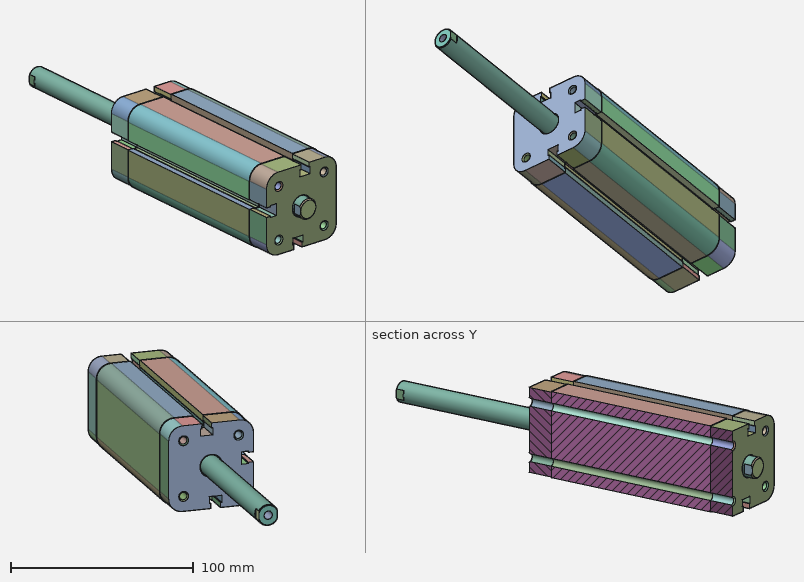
import cadquery as cq
import math


rod_length = 236.5
front_cap_start = 95.5
cap_length = 14.7
barrel_length = 105.7
barrel_start = front_cap_start + cap_length
rear_cap_start = barrel_start + barrel_length

barrel_side = 50.0
barrel_corner_radius = 8.5
cap_side = 49.2
cap_corner_radius = 8.0

slot_mouth_width = 5.7
cap_slot_depth = 7.3
cap_undercut_width = 7.0
cap_undercut_height = 4.0
barrel_slot_depth = 6.6
barrel_undercut_width = 6.1
barrel_undercut_height = 2.5
slot_offset = 2.5
slot_face_angles = (0, 90, 180)

screw_hole_diameter = 4.3
screw_hole_mouth_diameter = 5.7
screw_hole_spacing = 32.0

rod_bore_flare = 0.5

rod_diameter = 12.0
flat_length = 5.2
across_flats = 10.6
tapped_hole_diameter = 4.7
tapped_hole_depth = 11.8
drill_point_angle = 118.0
front_chamfer = 0.5
rear_chamfer = 0.7


def bar_along_x(start, length, side, corner_radius):
    """Square bar with rounded long edges."""
    bar = cq.Workplane("YZ", origin=(start, 0, 0)).rect(side, side).extrude(length)
    return bar.edges("|X").fillet(corner_radius)


def t_slot(start, length, depth, undercut_width, undercut_height, face_angle):
    """Cutter for one T-slot, made on the top face and turned about X to its own face."""
    face_height = barrel_side / 2
    floor_height = face_height - depth
    mouth = cq.Workplane("XY").box(length, slot_mouth_width, depth, centered=(False, True, False))
    undercut = cq.Workplane("XY").box(
        length, undercut_width, undercut_height, centered=(False, True, False)
    )
    cutter = mouth.union(undercut).translate((start, slot_offset, floor_height))
    return cutter.rotate((0, 0, 0), (1, 0, 0), face_angle)


def cut_slots(section, start, length, depth, undercut_width, undercut_height):
    """Cut one T-slot along each slotted face of a housing section."""
    for face_angle in slot_face_angles:
        section = section.cut(t_slot(start, length, depth, undercut_width, undercut_height, face_angle))
    return section


def cut_bores(section, start, length):
    """Cut the corner screw holes and the bore that carries the rod."""
    profile = cq.Workplane("YZ", origin=(start, 0, 0))
    screw_holes = (
        profile.rect(screw_hole_spacing, screw_hole_spacing, forConstruction=True)
        .vertices()
        .circle(screw_hole_diameter / 2)
        .extrude(length)
    )
    rod_bore = profile.circle(rod_diameter / 2).extrude(length)
    return section.cut(screw_holes).cut(rod_bore)


def flare_cutter(face_x, inward, y, z, mouth_diameter, hole_diameter):
    """Conical flare of a hole at a cap's outer face, narrowing at 45 degrees towards inward (+1 or -1)."""
    depth = (mouth_diameter - hole_diameter) / 2
    cone = cq.Solid.makeCone(
        mouth_diameter / 2,
        hole_diameter / 2,
        depth,
        pnt=cq.Vector(face_x, y, z),
        dir=cq.Vector(inward, 0, 0),
    )
    return cq.Workplane(cone)


def flare_holes(cap, face_x, inward):
    """Countersink the four screw holes and the rod bore at a cap's outer face."""
    half_spacing = screw_hole_spacing / 2
    for y in (-half_spacing, half_spacing):
        for z in (-half_spacing, half_spacing):
            cap = cap.cut(
                flare_cutter(face_x, inward, y, z, screw_hole_mouth_diameter, screw_hole_diameter)
            )
    rod_bore_mouth_diameter = rod_diameter + 2 * rod_bore_flare
    return cap.cut(flare_cutter(face_x, inward, 0, 0, rod_bore_mouth_diameter, rod_diameter))


def wrench_flats(start):
    """Cutter that leaves two flats on the rod, facing -Y and +Y."""
    blank = cq.Workplane("XY").box(
        flat_length, 2 * rod_diameter, 2 * rod_diameter, centered=(False, True, True)
    )
    kept = cq.Workplane("XY").box(
        flat_length, across_flats, 2 * rod_diameter, centered=(False, True, True)
    )
    return blank.cut(kept).translate((start, 0, 0))


def make_rod():
    """Through rod with flats at both ends and a blind hole in its front end."""
    rod = cq.Workplane("YZ").circle(rod_diameter / 2).extrude(rod_length)
    rod = rod.faces(">X").chamfer(rear_chamfer)
    rod = rod.faces("<X").chamfer(front_chamfer)
    for flat_start in (0, rod_length - flat_length):
        rod = rod.cut(wrench_flats(flat_start))
    hole_radius = tapped_hole_diameter / 2
    point_length = hole_radius / math.tan(math.radians(drill_point_angle / 2))
    tapped_hole = (
        cq.Workplane("XY")
        .polyline(
            [
                (0, 0),
                (0, hole_radius),
                (tapped_hole_depth, hole_radius),
                (tapped_hole_depth + point_length, 0),
            ]
        )
        .close()
        .revolve(360, (0, 0, 0), (1, 0, 0))
    )
    return rod.cut(tapped_hole)


def make_barrel():
    """Middle length of the housing, with slots and bores running end to end."""
    bar = bar_along_x(barrel_start, barrel_length, barrel_side, barrel_corner_radius)
    slotted = cut_slots(
        bar, barrel_start, barrel_length, barrel_slot_depth, barrel_undercut_width, barrel_undercut_height
    )
    return cut_bores(slotted, barrel_start, barrel_length)


def make_cap(start, outer_face_x, inward):
    """End cap whose screw holes and rod bore are countersunk at its outer face."""
    bar = bar_along_x(start, cap_length, cap_side, cap_corner_radius)
    slotted = cut_slots(
        bar, start, cap_length, cap_slot_depth, cap_undercut_width, cap_undercut_height
    )
    cap = cut_bores(slotted, start, cap_length)
    return flare_holes(cap, outer_face_x, inward)


barrel = make_barrel()
front_cap = make_cap(front_cap_start, front_cap_start, 1)
rear_cap = make_cap(rear_cap_start, rear_cap_start + cap_length, -1)
rod = make_rod()

result = cq.Compound.makeCompound([barrel.val(), front_cap.val(), rear_cap.val(), rod.val()])